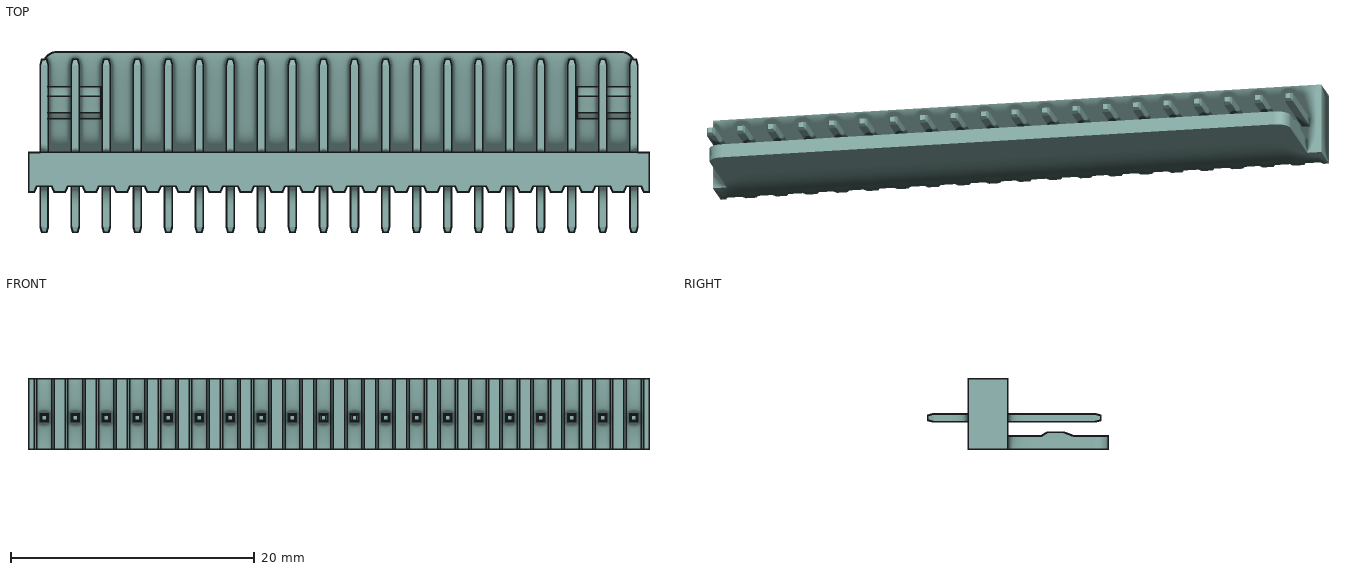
import cadquery as cq

pin_count = 20
pitch = 2.55
pin_width = 0.65
pin_height = 2.6
pin_front_reach = 3.3
pin_back_reach = 7.6
tip_length = 0.45
tip_width = 0.4

body_length = pin_count * pitch
body_depth = 3.25
body_height = 5.8

groove_depth = 0.45
groove_mouth = 1.65
groove_floor = 1.2

tongue_inset = 1.15
tongue_reach = 8.25
tongue_thickness = 1.1
tongue_corner_radius = 1.15
tongue_length = body_length - 2 * tongue_inset

latch_length = 4.7
latch_height = 0.3
latch_front = 2.75
latch_top_front = 3.25
latch_top_back = 4.55
latch_back = 5.4

pin_positions = [(i - (pin_count - 1) / 2) * pitch for i in range(pin_count)]


def make_body():
    block = cq.Workplane("XY").box(body_length, body_depth, body_height, centered=(True, False, False))
    for x in pin_positions:
        groove = (
            cq.Workplane("XY")
            .polyline([
                (x - groove_mouth / 2, 0),
                (x - groove_floor / 2, groove_depth),
                (x + groove_floor / 2, groove_depth),
                (x + groove_mouth / 2, 0),
            ])
            .close()
            .extrude(body_height)
        )
        block = block.cut(groove)
    return block


def make_tongue():
    return (
        cq.Workplane("XY")
        .box(tongue_length, tongue_reach, tongue_thickness, centered=(True, False, False))
        .edges("|Z and >Y")
        .fillet(tongue_corner_radius)
        .translate((0, body_depth, 0))
    )


def make_latch(x_start):
    """Ramped ridge running in +X from x_start."""
    latch_top = tongue_thickness + latch_height
    return (
        cq.Workplane("YZ", origin=(x_start, body_depth, 0))
        .polyline([
            (latch_front, 0),
            (latch_front, tongue_thickness),
            (latch_top_front, latch_top),
            (latch_top_back, latch_top),
            (latch_back, tongue_thickness),
            (latch_back, 0),
        ])
        .close()
        .extrude(latch_length)
    )


def make_pin(x):
    """Square pin along Y with a tapered tip at each end."""
    shank_front = tip_length - pin_front_reach
    shank_back = body_depth + pin_back_reach - tip_length
    shank = cq.Workplane("XY").box(
        pin_width, shank_back - shank_front, pin_width, centered=(True, False, True)
    ).translate((x, shank_front, pin_height))
    for face in ("<Y", ">Y"):
        tip = (
            shank.faces(face)
            .workplane(centerOption="CenterOfMass")
            .rect(pin_width, pin_width)
            .workplane(offset=tip_length)
            .rect(tip_width, tip_width)
            .loft(combine=False)
        )
        shank = shank.union(tip)
    return shank


result = make_body().union(make_tongue())
for latch_start in (-tongue_length / 2, tongue_length / 2 - latch_length):
    result = result.union(make_latch(latch_start))
for pin_x in pin_positions:
    result = result.union(make_pin(pin_x))